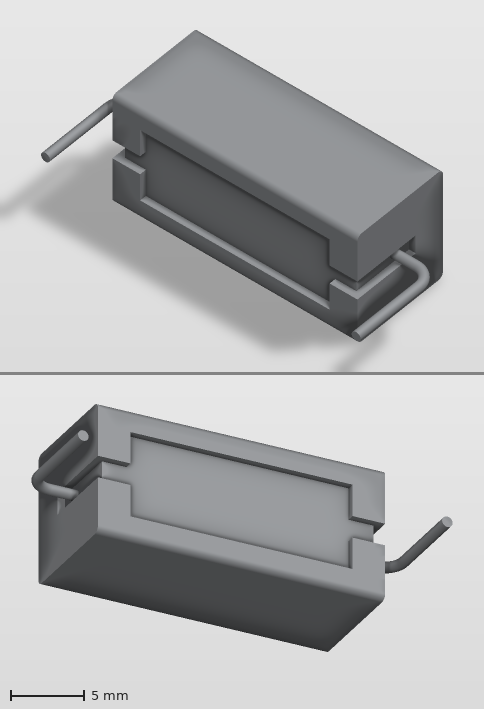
import cadquery as cq

overall_length = 28.7
overall_depth = 12.6
body_length = 22.0
body_depth = 9.0
body_height = 10.0
edge_radius = 0.5

recess_length = 17.0
recess_height = 6.5
recess_depth = 0.6

slot_height = 1.65
slot_reach = 6.15
slot_depth = 0.6

lead_diameter = 0.8
bend_radius = 1.5

front_y = -body_depth / 2
lead_x = (overall_length - lead_diameter) / 2
lead_tip_y = body_depth / 2 - overall_depth
slot_floor_x = body_length / 2 - slot_depth
lead_embed = 0.3


def make_body():
    """Block with its four long edges rounded."""
    block = cq.Workplane("XY").box(body_length, body_depth, body_height)
    return block.edges("|X").fillet(edge_radius)


def front_pocket(length, height):
    """Cutter of the recess depth, centred on the front face."""
    pocket = cq.Workplane("XY").box(length, recess_depth, height)
    return pocket.translate((0, front_y + recess_depth / 2, 0))


def end_slot(side):
    """Slot cutter for one end face, open at the front; side is -1 or 1."""
    slot = cq.Workplane("XY").box(slot_depth, slot_reach, slot_height)
    return slot.translate((side * (slot_floor_x + slot_depth / 2), front_y + slot_reach / 2, 0))


def make_lead():
    """Round lead leaving the +X slot floor, then bent toward the front."""
    start_x = slot_floor_x - lead_embed
    bend_start_x = lead_x - bend_radius
    path = (
        cq.Workplane("XY")
        .moveTo(start_x, 0)
        .lineTo(bend_start_x, 0)
        .tangentArcPoint((lead_x, -bend_radius), relative=False)
        .lineTo(lead_x, lead_tip_y)
    )
    section = cq.Workplane("YZ", origin=(start_x, 0, 0)).circle(lead_diameter / 2)
    return section.sweep(path)


body = make_body()
body = body.cut(front_pocket(recess_length, recess_height))
body = body.cut(front_pocket(body_length, slot_height))
for side in (-1, 1):
    body = body.cut(end_slot(side))

right_lead = make_lead()
left_lead = right_lead.mirror("YZ")
result = body.union(right_lead).union(left_lead)